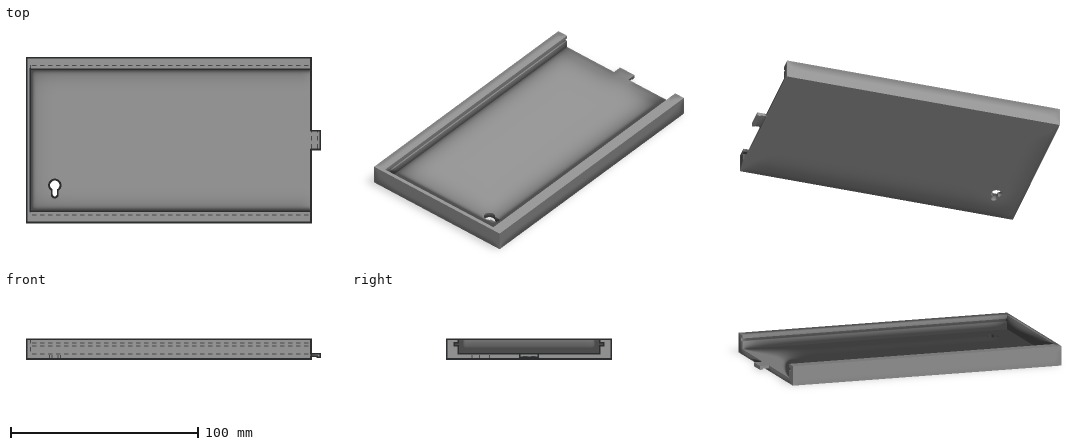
import cadquery as cq

total_length = 157.0
width = 88.0
height = 10.7
tab_reach = 5.0
body_length = total_length - tab_reach

floor_thickness = 3.0
rail_width = 6.1
end_wall = 2.0
cavity_width = width - 2 * rail_width

lip_thickness = 1.9
groove_height = 1.5
groove_depth = 2.0

tab_width = 10.0
tab_thickness = 1.5
catch_length = 1.7
catch_drop = 0.5

keyhole_x = 15.0
keyhole_side_offset = 20.0
keyhole_y = keyhole_side_offset - width / 2
head_diameter = 6.0
shank_width = 3.1
shank_drop = 4.9


def block(x_start, x_end, y_size, z_start, z_end):
    """Box centred on the XZ plane between the given X and Z limits."""
    return (
        cq.Workplane("XY")
        .box(x_end - x_start, y_size, z_end - z_start, centered=(False, True, False))
        .translate((x_start, 0, z_start))
    )


def make_tray():
    body = block(0, body_length, width, 0, height)
    cavity = block(end_wall, body_length, cavity_width, floor_thickness, height)
    groove_top = height - lip_thickness
    grooves = block(
        end_wall,
        body_length,
        cavity_width + 2 * groove_depth,
        groove_top - groove_height,
        groove_top,
    )
    return body.cut(cavity).cut(grooves)


def make_tab():
    underside = floor_thickness - tab_thickness
    tongue = block(body_length - end_wall, total_length, tab_width, underside, floor_thickness)
    catch = block(
        total_length - catch_length,
        total_length,
        tab_width,
        underside - catch_drop,
        floor_thickness,
    )
    return tongue.union(catch)


def make_keyhole():
    head = (
        cq.Workplane("XY")
        .center(keyhole_x, keyhole_y)
        .circle(head_diameter / 2)
        .extrude(floor_thickness)
    )
    shank = (
        cq.Workplane("XY")
        .center(keyhole_x, keyhole_y - shank_drop / 2)
        .slot2D(shank_drop + shank_width, shank_width, 90)
        .extrude(floor_thickness)
    )
    return head.union(shank)


result = make_tray().union(make_tab()).cut(make_keyhole())